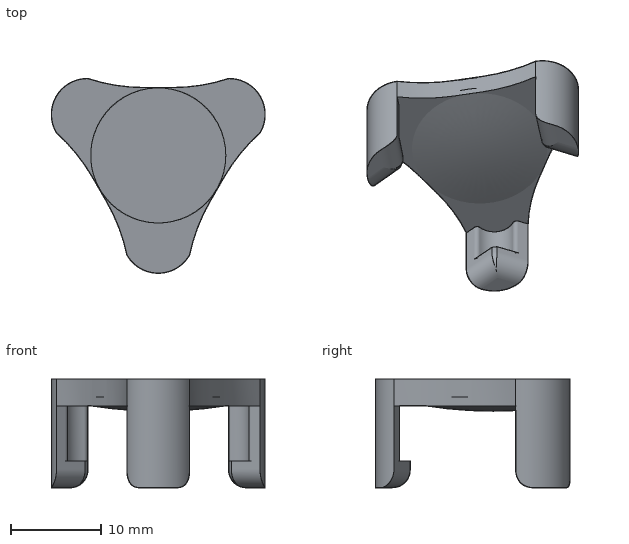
import cadquery as cq
import math

overall_width = 23.75
total_height = 12.1
plate_thickness = 3.0
plate_bottom = total_height - plate_thickness

lobe_angles = (-90, 30, 150)
lobe_distance = 9.1
lobe_radius = overall_width / 2 - lobe_distance * math.cos(math.radians(30))
joint_angle = 61
flat_distance = 7.55
flat_half_length = 1.6

recess_radius = 7.5
recess_depth = 2.0
dome_height = 0.6

tip_distance = 9.22
tip_half_width = 0.29
foot_height = 3.0
foot_rounding = 2.0
hollow_radius = 2.38
hollow_rounding = 0.5

joint_along = lobe_distance + lobe_radius * math.cos(math.radians(joint_angle))
joint_side = lobe_radius * math.sin(math.radians(joint_angle))


def place(along, side, angle):
    """Turn a point given relative to a lobe axis into X and Y."""
    turn = math.radians(angle)
    x = along * math.cos(turn) - side * math.sin(turn)
    y = along * math.sin(turn) + side * math.cos(turn)
    return x, y


def flank_arc_midpoints(flat_angle):
    """Middles of the two arcs that run tangentially from a flat to its neighbouring lobes."""
    joint_radius = math.hypot(joint_along, joint_side)
    joint_offset = math.atan2(joint_side, joint_along)
    joint_from_flat = math.radians(60) - joint_offset
    rise = joint_radius * math.cos(joint_from_flat) - flat_distance
    run = joint_radius * math.sin(joint_from_flat) - flat_half_length
    arc_radius = (run**2 + rise**2) / (2 * rise)
    half_sweep = math.atan2(rise, run)
    along = flat_distance + arc_radius * (1 - math.cos(half_sweep))
    side = flat_half_length + arc_radius * math.sin(half_sweep)
    return (
        place(along, -side, flat_angle),
        place(along, side, flat_angle),
    )


def make_plate():
    outline = cq.Workplane("XY", origin=(0, 0, plate_bottom))
    outline = outline.moveTo(*place(joint_along, -joint_side, lobe_angles[0]))
    for angle in lobe_angles:
        flat_angle = angle + 60
        before_flat, after_flat = flank_arc_midpoints(flat_angle)
        outline = (
            outline.threePointArc(
                place(lobe_distance + lobe_radius, 0, angle),
                place(joint_along, joint_side, angle),
            )
            .threePointArc(before_flat, place(flat_distance, -flat_half_length, flat_angle))
            .lineTo(*place(flat_distance, flat_half_length, flat_angle))
            .threePointArc(after_flat, place(joint_along, -joint_side, angle + 120))
        )
    return outline.close().extrude(plate_thickness)


def make_dome():
    """Spherical cap hanging below the plate, revolved about the Z axis."""
    sphere_radius = (recess_radius**2 + dome_height**2) / (2 * dome_height)
    half_sweep = math.asin(recess_radius / sphere_radius) / 2
    sphere_center = plate_bottom - dome_height + sphere_radius
    middle = (
        sphere_radius * math.sin(half_sweep),
        sphere_center - sphere_radius * math.cos(half_sweep),
    )
    return (
        cq.Workplane("XZ")
        .moveTo(0, plate_bottom)
        .lineTo(0, plate_bottom - dome_height)
        .threePointArc(middle, (recess_radius, plate_bottom))
        .close()
        .revolve(360, (0, 0), (0, 1))
    )


def rounded_block(start, inward_angle):
    """Block bounded by a vertical face through start, with the bottom edge rounded.

    The block lies on the side of the face that inward_angle points to.
    """
    reach = 4 * lobe_radius
    return (
        cq.Workplane("XY")
        .box(reach, 2 * reach, plate_bottom, centered=(False, True, False))
        .edges("<X and <Z")
        .fillet(foot_rounding)
        .rotate((0, 0, 0), (0, 0, 1), inward_angle)
        .translate((*start, 0))
    )


def make_leg():
    """Leg on the +X axis: a wedge of the lobe, hollowed above its foot."""
    side_slope = math.degrees(math.atan2(joint_side - tip_half_width, joint_along - tip_distance))
    leg = cq.Workplane("XY").center(lobe_distance, 0).circle(lobe_radius).extrude(plate_bottom)
    leg = leg.intersect(rounded_block((tip_distance, 0), 0))
    for hand in (-1, 1):
        tip_corner = (tip_distance, hand * tip_half_width)
        leg = leg.intersect(rounded_block(tip_corner, hand * (side_slope - 90)))
    hollow = (
        cq.Workplane("XY", origin=(lobe_distance, 0, foot_height))
        .circle(hollow_radius)
        .extrude(plate_bottom - foot_height)
    )
    leg = leg.cut(hollow)
    middle_height = (foot_height + plate_bottom) / 2
    edge_reach = hollow_radius + hollow_rounding
    hollow_edges = cq.selectors.BoxSelector(
        (lobe_distance, -edge_reach, middle_height - hollow_rounding),
        (lobe_distance + edge_reach, edge_reach, middle_height + hollow_rounding),
    )
    return leg.edges("|Z").edges(hollow_edges).fillet(hollow_rounding)


result = make_plate().union(make_dome())
leg = make_leg()
for angle in lobe_angles:
    result = result.union(leg.rotate((0, 0, 0), (0, 0, 1), angle))

recess = (
    cq.Workplane("XY", origin=(0, 0, total_height - recess_depth))
    .circle(recess_radius)
    .extrude(recess_depth)
)
result = result.cut(recess)